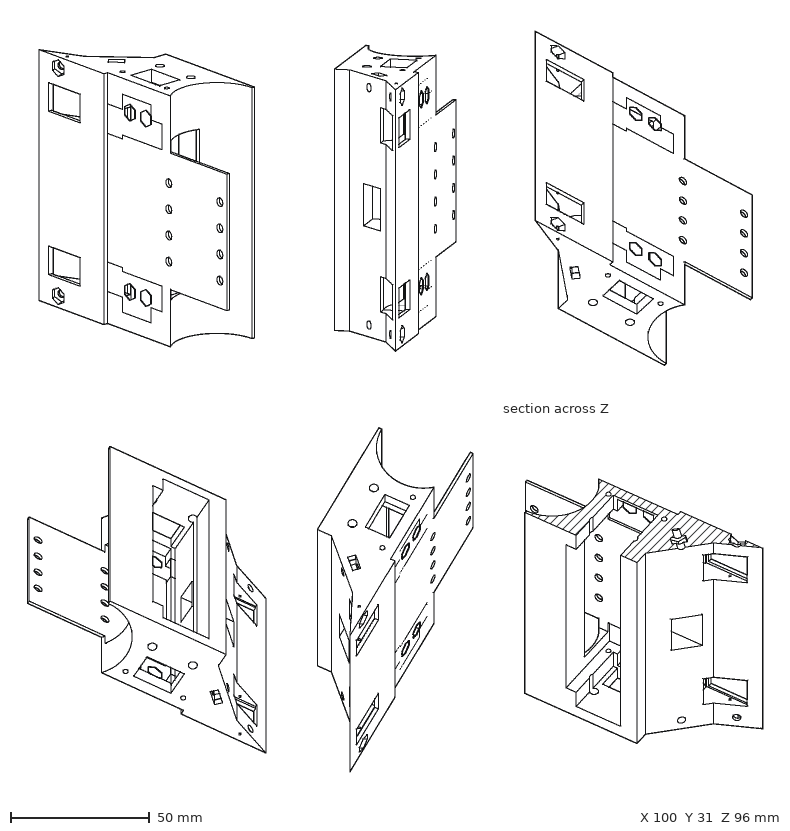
import cadquery as cq
import math

height = 96.0
depth = 31.0
mid_z = height / 2

flap_length = 35.3
knee_x, knee_y = 16.4, 7.5
shoulder_x, shoulder_y = 34.1, 25.3
front_y = 1.8

saddle_x, saddle_y = 82.3, 12.8
saddle_radius = 17.0

plate_end = 100.0
plate_thickness = 1.2
plate_height = 52.2
plate_hole_dia = 3.2
plate_hole_columns = (68.5, 96.2)
plate_hole_first_z = 32.4
plate_hole_pitch = 10.0
plate_hole_count = 4

skin = 0.3
floor_y = front_y + skin
cavity_x0, cavity_x1 = 43.0, 58.4
cavity_end_wall = 6.3
recess_margin_x = 1.8
recess_margin_z = 1.3
side_bay_x1 = 64.5
side_bay_end_wall = 12.1
saddle_slot_x1 = 70.0
saddle_slot_end_wall = 17.5
saddle_slot_y1 = 18.6

end_window_y0, end_window_y1 = 6.2, 16.1
side_window_y0, side_window_y1 = 10.3, 18.5
side_window_height = 15.5

pocket_x0, pocket_x1 = 5.2, 23.2
pocket_y0, pocket_y1 = 1.6, 10.1
pocket_z0, pocket_z1 = 10.5, 23.4
opening_x1 = 22.2
opening_z0, opening_z1 = 11.3, 22.2
channel_y1 = 6.1
channel_z0 = side_bay_end_wall
ceiling_flare_radius = 6.0
wall_flare_radius = 1.7

nut_corner_dia = 6.4
screw_dia = 3.0
screw_edge = 4.4
flap_screw_x = 10.5
flap_nut_cover = 1.2
slope_screw_x = 24.7
slope_screw_length = 10.0
nut_slot_offset = 4.4
nut_slot_thickness = 3.0
nut_slot_width = 5.9
skin_nut_columns = (47.2, 55.9)
skin_nut_rows = (15.2, 83.8)
end_screw_columns = (42.2, 59.0)
end_screw_y = 20.9
end_screw_dia = 3.2
end_pin_columns = (38.1, 62.0)
end_pin_y = 6.6
end_pin_dia = 1.8
hinge_x, hinge_y = 12.4, 2.7
hinge_dia = 0.8

shallow_angle = math.degrees(math.atan2(knee_y, knee_x))
steep_angle = math.degrees(math.atan2(shoulder_y - knee_y, shoulder_x - knee_x))
slope_screw_y = knee_y + (slope_screw_x - knee_x) * math.tan(math.radians(steep_angle))


def block(x0, x1, y0, y1, z0, z1):
    return cq.Workplane("XY").box(x1 - x0, y1 - y0, z1 - z0, centered=False).translate((x0, y0, z0))


def mirrored(shape):
    """The shape together with its mirror image about mid height."""
    return shape.union(shape.mirror("XY", (0, 0, mid_z)))


def z_holes(columns, y, diameter):
    points = [(x, y) for x in columns]
    return cq.Workplane("XY").pushPoints(points).circle(diameter / 2).extrude(height)


def slope_plane(x, y, z, angle):
    """Plane at a point, its normal pointing inward from a slope of the given angle."""
    a = math.radians(angle)
    return cq.Plane(
        origin=(x, y, z),
        xDir=(math.cos(a), math.sin(a), 0),
        normal=(math.sin(a), -math.cos(a), 0),
    )


def hexagon(plane):
    """Hexagon with corners pointing along Z."""
    return cq.Workplane(plane).transformed(rotate=(0, 0, 90)).polygon(6, nut_corner_dia)


def make_body():
    saddle_front_x = saddle_x - math.sqrt(saddle_radius**2 - (saddle_y - front_y) ** 2)
    return (
        cq.Workplane("XY")
        .moveTo(0, 0)
        .lineTo(flap_length, 0)
        .lineTo(flap_length, front_y)
        .lineTo(saddle_front_x, front_y)
        .threePointArc((saddle_x - saddle_radius, saddle_y), (saddle_x, saddle_y + saddle_radius))
        .lineTo(saddle_x, depth)
        .lineTo(shoulder_x, depth)
        .lineTo(shoulder_x, shoulder_y)
        .lineTo(knee_x, knee_y)
        .close()
        .extrude(height)
    )


def make_plate():
    return block(
        flap_length, plate_end,
        front_y, front_y + plate_thickness,
        mid_z - plate_height / 2, mid_z + plate_height / 2,
    )


def plate_holes():
    points = [
        (x, plate_hole_first_z + i * plate_hole_pitch)
        for x in plate_hole_columns
        for i in range(plate_hole_count)
    ]
    holes = cq.Workplane("XZ").pushPoints(points).circle(plate_hole_dia / 2)
    return holes.extrude(-(front_y + plate_thickness))


def cavity():
    main = block(cavity_x0, cavity_x1, floor_y, depth, cavity_end_wall, height - cavity_end_wall)
    recess_wall = cavity_end_wall - recess_margin_z
    recess = block(
        cavity_x0 - recess_margin_x, cavity_x1 + recess_margin_x,
        end_window_y0, depth,
        recess_wall, height - recess_wall,
    )
    side_bay = block(
        cavity_x0, side_bay_x1, floor_y, depth, side_bay_end_wall, height - side_bay_end_wall
    )
    saddle_slot = block(
        cavity_x0, saddle_slot_x1,
        front_y + plate_thickness, saddle_slot_y1,
        saddle_slot_end_wall, height - saddle_slot_end_wall,
    )
    return main.union(recess).union(side_bay).union(saddle_slot)


def windows():
    end_window = block(cavity_x0, cavity_x1, end_window_y0, end_window_y1, 0, height)
    side_window = block(
        0, cavity_x1,
        side_window_y0, side_window_y1,
        mid_z - side_window_height / 2, mid_z + side_window_height / 2,
    )
    return end_window.union(side_window)


def flared_profile(plane, near, wall, rise, radius, sign):
    """Channel outline from its near side to a wall that flares by the given rise at the pocket.

    The sign tells whether the wall flares toward higher or lower values.
    """
    run = math.sqrt(radius**2 - (radius - rise) ** 2)
    flare_x = pocket_x1 + run
    half_angle = math.asin(run / radius) / 2
    arc_middle = (
        flare_x - radius * math.sin(half_angle),
        wall + sign * radius * (1 - math.cos(half_angle)),
    )
    return (
        cq.Workplane(plane)
        .moveTo(cavity_x0, near)
        .lineTo(cavity_x0, wall)
        .lineTo(flare_x, wall)
        .threePointArc(arc_middle, (pocket_x1, wall + sign * rise))
        .lineTo(pocket_x1, near)
        .close()
    )


def flared_channel():
    """Channel whose ceiling and outer wall curve outward where it enters the pocket."""
    ceiling_rise = pocket_y1 - channel_y1
    wall_rise = channel_z0 - pocket_z0
    ceiling = flared_profile("XY", floor_y, channel_y1, ceiling_rise, ceiling_flare_radius, 1)
    outer_wall = flared_profile("XZ", pocket_z1, channel_z0, wall_rise, wall_flare_radius, -1)
    return ceiling.extrude(pocket_z1).intersect(outer_wall.extrude(-pocket_y1))


def flap_pocket():
    opening = block(pocket_x0, opening_x1, 0, pocket_y1, opening_z0, opening_z1)
    pocket = block(pocket_x0, pocket_x1, pocket_y0, pocket_y1, pocket_z0, pocket_z1)
    return opening.union(pocket).union(flared_channel())


def flap_screw():
    """Screw hole square to the shallow slope, with a nut recess from the front face."""
    a = math.radians(shallow_angle)
    axis_length = flap_screw_x * math.sin(a)
    x = flap_screw_x - axis_length * math.sin(a)
    y = axis_length * math.cos(a)
    plane = slope_plane(x, y, screw_edge, shallow_angle)
    hole = cq.Workplane(plane).circle(screw_dia / 2).extrude(axis_length)
    recess = hexagon(plane).extrude(2 * axis_length)
    cover = cq.Workplane(plane).rect(2 * nut_corner_dia, 2 * nut_corner_dia).extrude(flap_nut_cover)
    return hole.union(recess.cut(cover))


def slope_screw():
    """Screw hole square to the steep slope, with a nut slot open at the end face."""
    plane = slope_plane(slope_screw_x, slope_screw_y, screw_edge, steep_angle)
    hole = cq.Workplane(plane).circle(screw_dia / 2).extrude(slope_screw_length)
    slot_start = nut_slot_offset - nut_slot_thickness / 2
    nut = hexagon(plane).extrude(slot_start + nut_slot_thickness)
    slot_depth = screw_edge - nut_corner_dia / 4
    slot = (
        cq.Workplane(plane)
        .center(0, slot_depth / 2 - screw_edge)
        .rect(nut_slot_width, slot_depth)
        .extrude(slot_start + nut_slot_thickness)
    )
    cover = cq.Workplane(plane).rect(4 * nut_corner_dia, 4 * nut_corner_dia).extrude(slot_start)
    return hole.union(nut.union(slot).cut(cover))


def skin_nut_holes():
    centres = [(x, z) for x in skin_nut_columns for z in skin_nut_rows]
    holes = cq.Workplane("XY")
    for x, z in centres:
        plane = cq.Plane(origin=(x, 0, z), xDir=(1, 0, 0), normal=(0, 1, 0))
        holes = holes.union(hexagon(plane).extrude(floor_y))
    return holes


result = make_body().cut(cavity()).union(make_plate())
result = result.cut(windows()).cut(plate_holes())
for feature in (flap_pocket(), flap_screw(), slope_screw()):
    result = result.cut(mirrored(feature))
result = (
    result.cut(skin_nut_holes())
    .cut(z_holes(end_screw_columns, end_screw_y, end_screw_dia))
    .cut(z_holes(end_pin_columns, end_pin_y, end_pin_dia))
    .cut(z_holes([hinge_x], hinge_y, hinge_dia))
)